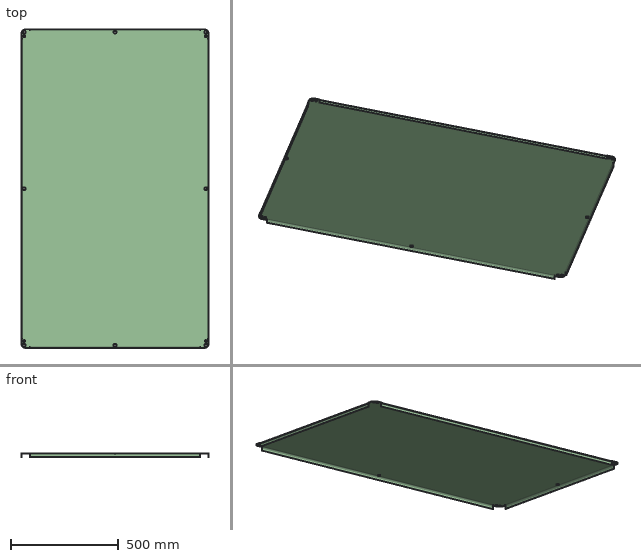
import cadquery as cq

width = 869.0
length = 1478.0
height = 19.0
sheet = 2.0

bend_radius = 5.5
side_flange_end_gap = 45.0
end_flange_end_gap = 40.0

corner_radius = 22.0
large_hole = 12.7
small_hole = 8.0
hole_inset = 13.0
small_hole_from_end = 33.0


def folded_tray(size_x, size_y):
    """Open-bottomed shell with rounded top edges."""
    inner_height = height - sheet
    outer = cq.Workplane("XY").box(size_x, size_y, height, centered=(True, True, False))
    outer = outer.faces(">Z").edges().fillet(bend_radius)
    inner = cq.Workplane("XY").box(
        size_x - 2 * sheet, size_y - 2 * sheet, inner_height, centered=(True, True, False)
    )
    inner = inner.faces(">Z").edges().fillet(bend_radius - sheet)
    return outer.cut(inner)


def corner_block(sign_x, sign_y):
    """Space at one corner where the folded edges are absent."""
    return (
        cq.Workplane("XY")
        .box(2 * end_flange_end_gap, 2 * side_flange_end_gap, 2 * height)
        .translate((sign_x * width / 2, sign_y * length / 2, height / 2))
    )


def drill(panel, points, diameter):
    """Cut round holes right through the sheet."""
    return panel.cut(cq.Workplane("XY").pushPoints(points).circle(diameter / 2).extrude(height))


corners = [(sx, sy) for sx in (-1, 1) for sy in (-1, 1)]

result = folded_tray(width, length)
for sign_x, sign_y in corners:
    result = result.cut(corner_block(sign_x, sign_y))

flat_sheet = (
    cq.Workplane("XY")
    .workplane(offset=height - sheet)
    .rect(width, length)
    .extrude(sheet)
    .edges("|Z")
    .fillet(corner_radius)
)
for sign_x, sign_y in corners:
    result = result.union(flat_sheet.intersect(corner_block(sign_x, sign_y)))

hole_x = width / 2 - hole_inset
hole_y = length / 2 - hole_inset
small_hole_y = length / 2 - small_hole_from_end
result = drill(result, [(sx * hole_x, sy * hole_y) for sx, sy in corners], large_hole)
result = drill(result, [(sx * hole_x, sy * small_hole_y) for sx, sy in corners], small_hole)

result = drill(result, [(-hole_x, 0), (hole_x, 0), (0, -hole_y), (0, hole_y)], large_hole)